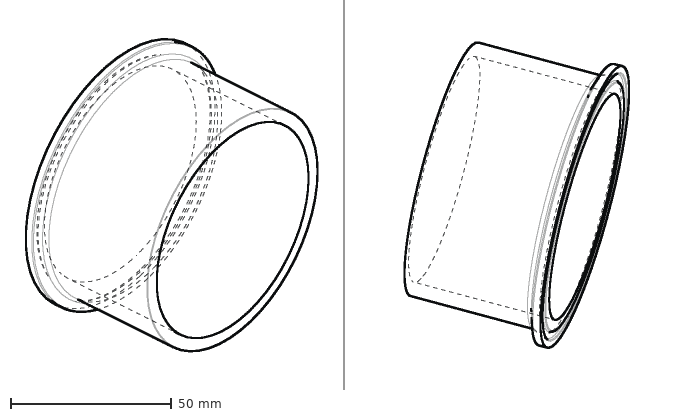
import cadquery as cq
import math

length = 46.0
bore_diameter = 72.9
tube_diameter = 81.9
flange_diameter = 90.9
tube_end_radius = 0.2

rim_width = 2.8
taper_angle = 20.0
rim_edge_radius = 0.5
neck_radius = 1.7

groove_diameter = 83.3
groove_depth = 1.5
groove_bottom_radius = 1.2
groove_flank_angle = 25.0
groove_edge_radius = 0.4

bore_radius = bore_diameter / 2
tube_radius = tube_diameter / 2
flange_radius = flange_diameter / 2
groove_radius = groove_diameter / 2
groove_slope = math.radians(groove_flank_angle)
flank_end_depth = groove_depth - groove_bottom_radius * (1 - math.sin(groove_slope))
bottom_half_width = groove_bottom_radius * math.cos(groove_slope)
lip_half_width = bottom_half_width + flank_end_depth * math.tan(groove_slope)
inner_lip_radius = groove_radius - lip_half_width
outer_lip_radius = groove_radius + lip_half_width
taper_end = rim_width + (flange_radius - tube_radius) * math.tan(math.radians(taper_angle))
edge_tolerance = 0.01


def box_around(x, radius):
    """Selector for edges lying in the plane at x and wholly within the given radius."""
    near_corner = (x - edge_tolerance, -radius, -radius)
    far_corner = (x + edge_tolerance, radius, radius)
    return cq.selectors.BoxSelector(near_corner, far_corner, boundingbox=True)


def circle_at(x, radius):
    """Selector for the circular edge of the given radius lying in the plane at x."""
    return box_around(x, radius + edge_tolerance) - box_around(x, radius - edge_tolerance)


def make_body():
    """Revolve the half section of the tube and its grooved flange about the X axis."""
    return (
        cq.Workplane("XY")
        .moveTo(0, bore_radius)
        .lineTo(0, inner_lip_radius)
        .lineTo(flank_end_depth, groove_radius - bottom_half_width)
        .threePointArc(
            (groove_depth, groove_radius),
            (flank_end_depth, groove_radius + bottom_half_width),
        )
        .lineTo(0, outer_lip_radius)
        .lineTo(0, flange_radius)
        .lineTo(rim_width, flange_radius)
        .lineTo(taper_end, tube_radius)
        .lineTo(length, tube_radius)
        .lineTo(length, bore_radius)
        .close()
        .revolve(360, (0, 0, 0), (1, 0, 0))
    )


def round_edge(body, x, edge_radius, fillet_radius):
    """Fillet the circular edge of the given radius at x."""
    return body.edges(circle_at(x, edge_radius)).fillet(fillet_radius)


body = make_body()
body = round_edge(body, taper_end, tube_radius, neck_radius)
body = round_edge(body, rim_width, flange_radius, rim_edge_radius)
for lip_radius in (inner_lip_radius, outer_lip_radius):
    body = round_edge(body, 0, lip_radius, groove_edge_radius)
body = round_edge(body, length, tube_radius, tube_end_radius)

result = body